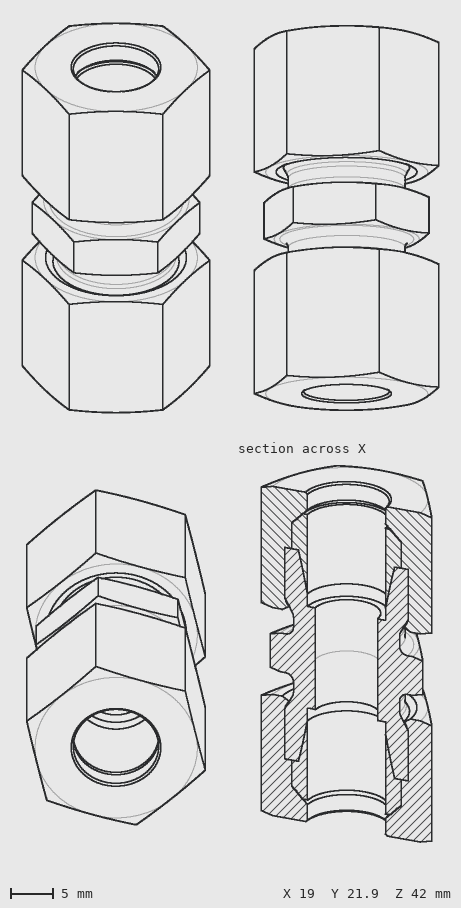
import cadquery as cq
import math


overall_length = 42.0
half_length = overall_length / 2
nut_length = 15.5
nut_inner_face = half_length - nut_length
body_half_length = 13.5
tube_stop = 6.5

hex_sides = 6
corner_turn = 180 / hex_sides
hex_chamfer_angle = math.radians(15)

body_hex_flats = 17.0
body_hex_half_thickness = 2.5
neck_radius = 13.7 / 2
neck_fillet = 1.0
upper_fillet_start = 4.8
runout_angle = math.radians(30)
thread_radius = 16.0 / 2
flow_bore_radius = 8.0 / 2
tube_radius = 10.0 / 2
cone_mouth_radius = 12.3 / 2
cone_half_angle = math.radians(12)
cone_depth = (cone_mouth_radius - tube_radius) / math.tan(cone_half_angle)

nut_hex_flats = 19.0
nut_bore_chamfer = 0.25
nut_bore_length = 2.25
nut_thread_radius = 14.38 / 2
nut_mouth_radius = 16.5 / 2
nut_mouth_angle = math.radians(120)

ring_collar_radius = 14.0 / 2
ring_end_gap = 0.55
seat_start = half_length - nut_bore_length
ring_shoulder = seat_start - (ring_collar_radius - tube_radius)
ring_outer_end = seat_start - ring_end_gap
ring_end_radius = tube_radius + ring_end_gap


def revolved(points):
    """Solid of revolution about Z from (radius, z) points."""
    return cq.Workplane("XZ").polyline(points).close().revolve(360, (0, 0), (0, 1))


def mirrored(part):
    """Copy of a part reflected through the middle plane."""
    return part.mirror("XY")


def chamfered_hex(flats, bottom, top):
    """Hexagonal prism with corners on the Y axis and both ends turned to a cone."""
    flat_radius = flats / 2
    corner_radius = flat_radius / math.cos(math.pi / hex_sides)
    drop = (corner_radius - flat_radius) * math.tan(hex_chamfer_angle)
    prism = (
        cq.Workplane("XY", origin=(0, 0, bottom))
        .polygon(hex_sides, 2 * corner_radius)
        .extrude(top - bottom)
        .rotate((0, 0, 0), (0, 0, 1), corner_turn)
    )
    envelope = revolved(
        [
            (0, bottom),
            (flat_radius, bottom),
            (corner_radius, bottom + drop),
            (corner_radius, top - drop),
            (flat_radius, top),
            (0, top),
        ]
    )
    return prism.intersect(envelope)


def make_threaded_end():
    """Upper spigot of the body: filleted neck, conical thread runout, thread envelope."""
    root_fillet_radius = neck_radius + neck_fillet
    root_fillet_offset = neck_fillet * (1 - math.sqrt(0.5))
    root_fillet_end = body_hex_half_thickness + neck_fillet

    def upper_fillet_point(angle):
        radius = neck_radius + neck_fillet * (1 - math.cos(angle))
        return radius, upper_fillet_start + neck_fillet * math.sin(angle)

    runout_start = upper_fillet_point(runout_angle)
    runout_end = runout_start[1] + (thread_radius - runout_start[0]) / math.tan(runout_angle)
    return (
        cq.Workplane("XZ")
        .moveTo(0, body_hex_half_thickness)
        .lineTo(root_fillet_radius, body_hex_half_thickness)
        .threePointArc(
            (neck_radius + root_fillet_offset, body_hex_half_thickness + root_fillet_offset),
            (neck_radius, root_fillet_end),
        )
        .lineTo(neck_radius, upper_fillet_start)
        .threePointArc(upper_fillet_point(runout_angle / 2), runout_start)
        .lineTo(thread_radius, runout_end)
        .lineTo(thread_radius, body_half_length)
        .lineTo(0, body_half_length)
        .close()
        .revolve(360, (0, 0), (0, 1))
    )


def make_body_socket():
    """Upper half of the body's inside: flow bore, tube socket and sealing cone."""
    return revolved(
        [
            (0, 0),
            (flow_bore_radius, 0),
            (flow_bore_radius, tube_stop),
            (tube_radius, tube_stop),
            (tube_radius, body_half_length - cone_depth),
            (cone_mouth_radius, body_half_length),
            (0, body_half_length),
        ]
    )


def make_body():
    end = make_threaded_end()
    socket = make_body_socket()
    hexagon = chamfered_hex(body_hex_flats, -body_hex_half_thickness, body_hex_half_thickness)
    solid = hexagon.union(end).union(mirrored(end))
    return solid.cut(socket).cut(mirrored(socket))


def make_nut(body):
    """Upper union nut: thread fitted to the body, 45 degree seat for the ring, tube bore.

    Its thread bore starts at the minor diameter and is cut to fit the larger threaded body.
    """
    mouth_depth = (nut_mouth_radius - nut_thread_radius) / math.tan(nut_mouth_angle / 2)
    cavity = revolved(
        [
            (0, nut_inner_face),
            (nut_mouth_radius, nut_inner_face),
            (nut_thread_radius, nut_inner_face + mouth_depth),
            (nut_thread_radius, body_half_length),
            (ring_collar_radius, body_half_length),
            (ring_collar_radius, ring_shoulder),
            (tube_radius, seat_start),
            (tube_radius, half_length - nut_bore_chamfer),
            (tube_radius + nut_bore_chamfer, half_length),
            (0, half_length),
        ]
    )
    blank = chamfered_hex(nut_hex_flats, nut_inner_face, half_length)
    return blank.cut(cavity).cut(body)


def make_ring():
    """Upper cutting ring: nose in the body's cone, collar between body end and nut seat."""
    return revolved(
        [
            (tube_radius, body_half_length - cone_depth),
            (cone_mouth_radius, body_half_length),
            (ring_collar_radius, body_half_length),
            (ring_collar_radius, ring_shoulder),
            (ring_end_radius, ring_outer_end),
            (tube_radius, ring_outer_end),
        ]
    )


body = make_body()
upper_parts = [make_nut(body), make_ring()]

solids = [body.val()]
for part in upper_parts:
    solids.append(part.val())
    solids.append(mirrored(part).val())

result = cq.Compound.makeCompound(solids)